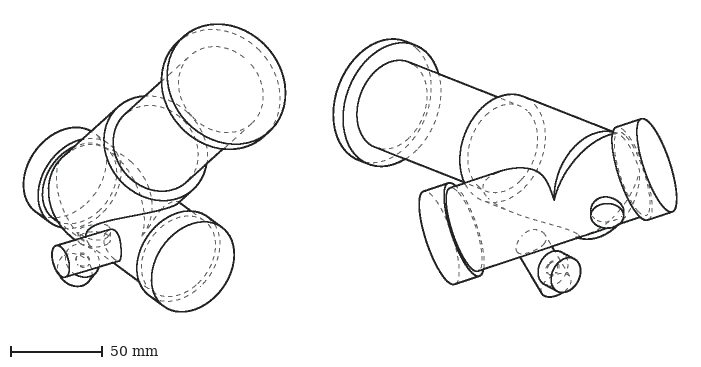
import cadquery as cq
import math

run_length = 130.2
run_diameter = 48.0
run_collar_diameter = 53.7
run_collar_length = 15.0

branch_start_x = 36.0
branch_angle = 45.0
branch_body_diameter = 61.0
branch_body_length = 79.8
branch_tube_diameter = 50.0
branch_flange_diameter = 70.0
branch_flange_thickness = 8.3
overall_length = 189.0
branch_rad = math.radians(branch_angle)
flange_rim_reach = branch_flange_diameter / 2 * math.sin(branch_rad)
branch_length = (overall_length - branch_start_x - flange_rim_reach) / math.cos(branch_rad)

stub_diameter = 18.0
drain_x = 29.7
drain_reach = 28.0
side_stub_x = 86.0
side_stub_reach = 57.5

cap_diameter = 20.0
cap_length = 12.1
cap_angle = 230.0
cap_y = -39.5
cap_gap = 0.8
stem_diameter = 8.0


def rod(diameter, length, start, direction):
    """Solid cylinder from a start point along a direction."""
    return cq.Workplane(
        cq.Solid.makeCylinder(diameter / 2, length, cq.Vector(*start), cq.Vector(*direction))
    )


def tilted(angle):
    """Unit direction in the XZ plane, turned from +X toward +Z by an angle in degrees."""
    return (math.cos(math.radians(angle)), 0, math.sin(math.radians(angle)))


def make_run():
    along_x = (1, 0, 0)
    run = rod(run_diameter, run_length, (0, 0, 0), along_x)
    for collar_x in (0, run_length - run_collar_length):
        run = run.union(rod(run_collar_diameter, run_collar_length, (collar_x, 0, 0), along_x))
    return run


def make_branch():
    axis = tilted(branch_angle)
    start = (branch_start_x, 0, 0)
    flange_distance = branch_length - branch_flange_thickness
    flange_start = (branch_start_x + flange_distance * axis[0], 0, flange_distance * axis[2])
    body = rod(branch_body_diameter, branch_body_length, start, axis)
    tube = rod(branch_tube_diameter, branch_length, start, axis)
    flange = rod(branch_flange_diameter, branch_flange_thickness, flange_start, axis)
    return body.union(tube).union(flange)


def make_stubs():
    drain = rod(stub_diameter, drain_reach, (drain_x, 0, 0), (0, 0, -1))
    side_stub = rod(stub_diameter, side_stub_reach, (side_stub_x, 0, 0), (0, -1, 0))
    return drain.union(side_stub)


def make_cap():
    axis = tilted(cap_angle)
    cap_distance = stub_diameter / 2 + cap_gap
    cap_start = (side_stub_x + cap_distance * axis[0], cap_y, cap_distance * axis[2])
    stem = rod(stem_diameter, cap_distance + cap_length / 2, (side_stub_x, cap_y, 0), axis)
    return rod(cap_diameter, cap_length, cap_start, axis).union(stem)


result = make_run().union(make_branch()).union(make_stubs()).union(make_cap())